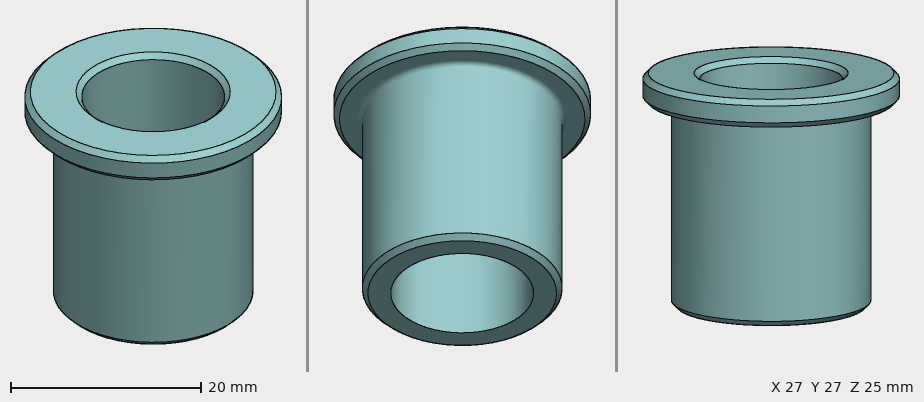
import cadquery as cq

flange_diameter = 27.0
flange_thickness = 3.0
sleeve_diameter = 21.0
bore_diameter = 15.0
total_height = 25.0
edge_chamfer = 0.6
root_radius = 0.6

flange_radius = flange_diameter / 2
sleeve_radius = sleeve_diameter / 2
bore_radius = bore_diameter / 2
flange_bottom = total_height - flange_thickness

half_section = (
    cq.Workplane("XZ")
    .moveTo(bore_radius, 0)
    .lineTo(sleeve_radius - edge_chamfer, 0)
    .lineTo(sleeve_radius, edge_chamfer)
    .lineTo(sleeve_radius, flange_bottom - root_radius)
    .radiusArc((sleeve_radius + root_radius, flange_bottom), root_radius)
    .lineTo(flange_radius - edge_chamfer, flange_bottom)
    .lineTo(flange_radius, flange_bottom + edge_chamfer)
    .lineTo(flange_radius, total_height - edge_chamfer)
    .lineTo(flange_radius - edge_chamfer, total_height)
    .lineTo(bore_radius + edge_chamfer, total_height)
    .lineTo(bore_radius, total_height - edge_chamfer)
    .close()
)

result = half_section.revolve(360, (0, 0, 0), (0, 1, 0))